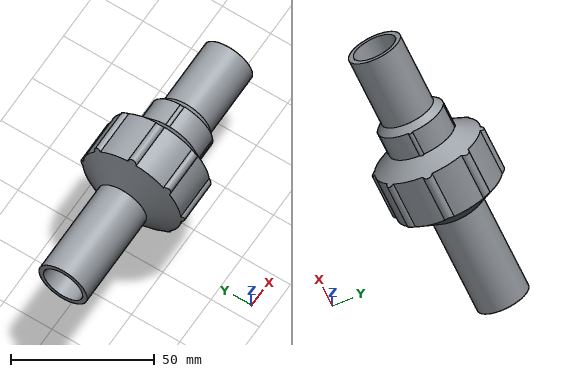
import cadquery as cq

length = 106.0
pipe_radius = 20.0 / 2
bore_radius = 16.2 / 2

front_cone_start = -14.9
nut_start = -8.9
nut_end = 9.3
back_cone_end = 14.0
nut_radius = 20.4
nut_rib_count = 8
nut_rib_tip = 21.5
nut_rib_radius = 1.9

collar_end = 23.4
collar_cone_end = 25.9
collar_radius = 12.6
collar_rib_count = 4
collar_rib_tip = 12.9
collar_rib_radius = 1.2


def cylinder_x(start, end, radius):
    """Solid cylinder along X."""
    return cq.Workplane("YZ").workplane(offset=start).circle(radius).extrude(end - start)


def ribbed_prism(start, end, radius, rib_count, rib_tip, rib_radius):
    """Cylinder along X with round ribs standing out of its side."""
    rib = cylinder_x(start, end, rib_radius).translate((0, 0, rib_tip - rib_radius))
    prism = cylinder_x(start, end, radius)
    for index in range(rib_count):
        angle = index * 360 / rib_count
        prism = prism.union(rib.rotate((0, 0, 0), (1, 0, 0), angle))
    return prism


def revolved(points):
    """Solid of revolution about X from (x, radius) points."""
    return cq.Workplane("XY").polyline(points).close().revolve(360, (0, 0, 0), (1, 0, 0))


def make_nut():
    """Ribbed nut whose rib ends follow the two cones."""
    rib_height = nut_rib_tip - nut_radius
    front_run = (nut_start - front_cone_start) / (nut_radius - pipe_radius) * rib_height
    back_run = (back_cone_end - nut_end) / (nut_radius - collar_radius) * rib_height
    envelope = revolved([
        (front_cone_start, 0),
        (front_cone_start, pipe_radius),
        (nut_start + front_run, nut_rib_tip),
        (nut_end - back_run, nut_rib_tip),
        (back_cone_end, collar_radius),
        (back_cone_end, 0),
    ])
    prism = ribbed_prism(
        front_cone_start, back_cone_end, nut_radius, nut_rib_count, nut_rib_tip, nut_rib_radius
    )
    return prism.intersect(envelope)


def make_collar():
    """Ribbed collar whose rib ends follow its cone."""
    rib_height = collar_rib_tip - collar_radius
    cone_run = (collar_cone_end - collar_end) / (collar_radius - pipe_radius) * rib_height
    envelope = revolved([
        (nut_end, 0),
        (nut_end, collar_rib_tip),
        (collar_end - cone_run, collar_rib_tip),
        (collar_cone_end, pipe_radius),
        (collar_cone_end, 0),
    ])
    prism = ribbed_prism(
        nut_end, collar_cone_end, collar_radius,
        collar_rib_count, collar_rib_tip, collar_rib_radius,
    )
    return prism.intersect(envelope)


pipe = cylinder_x(-length / 2, length / 2, pipe_radius)
bore = cylinder_x(-length / 2, length / 2, bore_radius)
result = pipe.union(make_nut()).union(make_collar()).cut(bore)